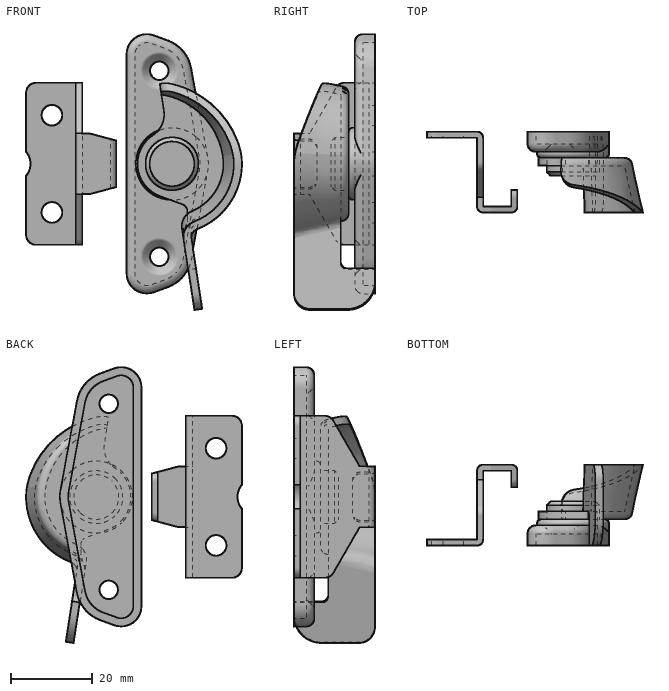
import cadquery as cq
import math


LATCH_HEIGHT = 68.1
LATCH_DEPTH = 20.0
OVERSIZE = 136.15

BASE_LEFT = -11.2
BASE_HALF_LENGTH = 32.0
BASE_DEPTH = 5.05
BASE_WALL = 2.05
BASE_END_RADIUS = 5.05
BASE_SHOULDER_RADIUS = 9.05
BASE_END_SLOPE = math.radians(20)
BASE_SIDE_SLOPE = math.radians(10.4)
BASE_EDGE_ROUNDING = 2.05
BOSS_RADIUS = 8.9
BOSS_HEIGHT = 1.4
BOSS_EDGE_ROUNDING = 1.0
SCREW_X = -3.1
SCREW_Z = 22.95
SCREW_HOLE_RADIUS = 2.25
SCREW_SINK_RADIUS = 4.3
SCREW_SINK_ROUNDING = 0.95

LEVER_THICKNESS = 2.0
LEAN = 8.7
HUB_RADIUS = 8.5
HUB_BLEND_RADIUS = 6.0
PLATE_LOWER_SLOPE = math.radians(20)
PLATE_RELIEF_X = 3.8
PLATE_CORNER_RADIUS = 2.0
RIM_RADIUS = 17.3
WALL_DRAFT = math.radians(12.6)
CAM_OFFSET = 5.45
RIM_SLOPE = math.radians(19.5)
RIM_BLEND_RADIUS = 19.05
WALL_CORNER_RADIUS = 3.0
HANDLE_BOTTOM_Z = BASE_HALF_LENGTH - LATCH_HEIGHT
HANDLE_SHELF = 26.35
HANDLE_SHELF_RADIUS = 1.5
HANDLE_FRONT_RADIUS = 4.0
HANDLE_BACK_RADIUS = 6.8
HANDLE_BEND_RADIUS = 3.95

PIN_RADIUS = 6.55
PIN_HEAD_HEIGHT = 2.5
PIN_CHAMFER = 1.0

KEEPER_LEFT = -36.0
SHEET = 1.55
FLANGE_WIDTH = 13.9
KEEPER_HALF_LENGTH = 20.0
KEEPER_CORNER_RADIUS = 2.5
KEEPER_HOLE_INSET = 6.4
KEEPER_HOLE_Z = 12.0
KEEPER_HOLE_RADIUS = 2.5
NOTCH_HALF_LENGTH = 3.0
NOTCH_DEPTH = 1.1
WEB_SHOULDER_DEPTH = 9.0
WEB_SLOPE = math.radians(30)
TONGUE_LENGTH = 10.0
TONGUE_HALF_WIDTH = 7.5
TONGUE_STRAIGHT = 1.9
TONGUE_TAPER = math.radians(15)
LIP_HEIGHT = 5.65
LIP_CORNER_RADIUS = 2.0

BOSS_DEPTH = BASE_DEPTH + BOSS_HEIGHT
PLATE_DEPTH = BOSS_DEPTH + LEVER_THICKNESS


def facing(depth):
    """Workplane parallel to the mounting surface; extruding leads further out, toward -Y."""
    return cq.Workplane("XZ", origin=(0, -depth, 0))


def fillet_nearest(body, radius, direction, points):
    """Round the edges along the given direction that lie nearest to the points."""
    for point in points:
        nearest = cq.selectors.NearestToPointSelector(point)
        body = body.newObject([body.edges(direction).edges(nearest).val()]).fillet(radius)
    return body


def rounded_plate():
    """Plate symmetrical about Z = 0, with sides tangent to the boss and rounded corners."""
    end_rise = (1 + math.sin(BASE_END_SLOPE)) / math.cos(BASE_END_SLOPE)
    left_z = BASE_HALF_LENGTH + BASE_END_RADIUS * (end_rise - 1)
    middle_x = BOSS_RADIUS / math.cos(BASE_SIDE_SLOPE)
    end_fall = math.tan(BASE_END_SLOPE)
    side_fall = math.tan(BASE_SIDE_SLOPE)
    shoulder_z = (left_z - end_fall * (middle_x - BASE_LEFT)) / (1 - end_fall * side_fall)
    shoulder_x = middle_x - shoulder_z * side_fall
    corners = [
        (BASE_LEFT, -left_z),
        (shoulder_x, -shoulder_z),
        (middle_x, 0),
        (shoulder_x, shoulder_z),
        (BASE_LEFT, left_z),
    ]
    plate = facing(0).polyline(corners).close().extrude(BASE_DEPTH)
    mid_y = -BASE_DEPTH / 2
    for side in (-1, 1):
        plate = fillet_nearest(plate, BASE_END_RADIUS, "|Y", [(BASE_LEFT, mid_y, side * left_z)])
        plate = fillet_nearest(
            plate, BASE_SHOULDER_RADIUS, "|Y", [(shoulder_x, mid_y, side * shoulder_z)]
        )
    plate = fillet_nearest(plate, BOSS_RADIUS, "|Y", [(middle_x, mid_y, 0)])
    return plate.faces("<Y").edges().fillet(BASE_EDGE_ROUNDING)


def make_base():
    """Base plate hollowed from behind, with a boss and two countersunk screw holes."""
    boss = facing(0).circle(BOSS_RADIUS).extrude(BOSS_DEPTH)
    boss = boss.faces("<Y").edges().fillet(BOSS_EDGE_ROUNDING)
    sink_depth = SCREW_SINK_RADIUS - SCREW_HOLE_RADIUS
    pocket_depth = BASE_DEPTH - BASE_WALL
    base = rounded_plate()
    back_outline = base.faces(">Y").wires().toPending().workplane()
    base = back_outline.offset2D(-BASE_WALL).cutBlind(-pocket_depth)
    in_front_of_pocket = facing(pocket_depth).rect(OVERSIZE, OVERSIZE).extrude(OVERSIZE)
    base = base.union(boss.intersect(in_front_of_pocket))
    for z in (-SCREW_Z, SCREW_Z):
        sink = cq.Solid.makeCone(
            SCREW_HOLE_RADIUS,
            SCREW_SINK_RADIUS,
            sink_depth,
            cq.Vector(SCREW_X, sink_depth - BASE_DEPTH, z),
            cq.Vector(0, -1, 0),
        )
        base = base.cut(cq.Workplane(sink))
        base = fillet_nearest(base, SCREW_SINK_ROUNDING, "%CIRCLE", [(SCREW_X, -BASE_DEPTH, z)])
    return base


def half_space(side):
    """Everything above the pivot (side 1) or below it (side -1)."""
    return facing(0).center(0, side * OVERSIZE / 2).rect(OVERSIZE, OVERSIZE).extrude(OVERSIZE)


def lean(body):
    """Turn a body about the pivot so that its Z direction leans left going up."""
    return body.rotate((0, 0, 0), (0, 1, 0), -LEAN)


def wall_inset():
    """Horizontal thickness of the flared wall."""
    return LEVER_THICKNESS / math.cos(WALL_DRAFT)


def cam_cone(start_depth, inset):
    """Flared cam body out to the rim, with its surface inset from the outside of the wall."""
    rim_radius = RIM_RADIUS - inset
    height = LATCH_DEPTH - start_depth
    start_radius = rim_radius - height * math.tan(WALL_DRAFT)
    outward = cq.Vector(0, -1, 0)

    def half(offset, side):
        center = cq.Vector(-offset, -start_depth, 0)
        cone = cq.Solid.makeCone(start_radius + offset, rim_radius + offset, height, center, outward)
        return cq.Workplane(cone).intersect(half_space(side))

    cam = half(CAM_OFFSET, 1).union(half(0, -1))
    return lean(cam)


def make_plate():
    """Plate with a rolled outer edge toward the wall and a round hub around the pivot."""
    blank = cam_cone(BOSS_DEPTH, 0).faces(">Y").edges("%CIRCLE").fillet(LEVER_THICKNESS)
    low_angle = -math.pi / 2 - PLATE_LOWER_SLOPE
    low_x = HUB_RADIUS * math.cos(low_angle)
    low_z = HUB_RADIUS * math.sin(low_angle)
    corner_z = low_z - (PLATE_RELIEF_X - low_x) * math.tan(PLATE_LOWER_SLOPE)
    edge_top_x = -OVERSIZE * math.tan(math.radians(LEAN))
    corners = [
        (edge_top_x, OVERSIZE),
        (0, 0),
        (low_x, low_z),
        (PLATE_RELIEF_X, corner_z),
        (PLATE_RELIEF_X, -OVERSIZE),
        (OVERSIZE, -OVERSIZE),
        (OVERSIZE, OVERSIZE),
    ]
    limit = facing(BOSS_DEPTH).polyline(corners).close().extrude(LEVER_THICKNESS)
    hub = facing(BOSS_DEPTH).circle(HUB_RADIUS).extrude(LEVER_THICKNESS)
    limit = limit.union(hub)
    mid_y = -BOSS_DEPTH - LEVER_THICKNESS / 2
    limit = fillet_nearest(limit, PLATE_CORNER_RADIUS, "|Y", [(PLATE_RELIEF_X, mid_y, corner_z)])
    blend_x = -HUB_RADIUS * math.tan(math.radians(LEAN))
    limit = fillet_nearest(limit, HUB_BLEND_RADIUS, "|Y", [(blend_x, mid_y, HUB_RADIUS)])
    return blank.intersect(limit)


def rim_cut():
    """What lies in front of the rim, which slopes back along the upper wall; before leaning."""
    slope_end_y = OVERSIZE * math.tan(RIM_SLOPE) - LATCH_DEPTH
    outline = [
        (-LATCH_DEPTH, -OVERSIZE),
        (-LATCH_DEPTH, 0),
        (slope_end_y, OVERSIZE),
        (-OVERSIZE, OVERSIZE),
        (-OVERSIZE, -OVERSIZE),
    ]
    return cq.Workplane("YZ", origin=(-OVERSIZE / 2, 0, 0)).polyline(outline).close().extrude(OVERSIZE)


def wall_limit():
    """Everything right of the leaning line through the pivot, rounded where it meets the sloping rim."""
    right_side = facing(0).center(OVERSIZE / 2, 0).rect(OVERSIZE, 2 * OVERSIZE).extrude(OVERSIZE)
    limit = right_side.cut(rim_cut())
    slope_middle = (0, -LATCH_DEPTH / 2, LATCH_DEPTH / 2 / math.tan(RIM_SLOPE))
    return lean(fillet_nearest(limit, WALL_CORNER_RADIUS, "not(|X)", [slope_middle]))


def make_wall():
    """Flared crescent wall standing on the plate."""
    shell = cam_cone(BOSS_DEPTH, 0).cut(cam_cone(BOSS_DEPTH, wall_inset()))
    in_front_of_plate = facing(PLATE_DEPTH).rect(OVERSIZE, OVERSIZE).extrude(OVERSIZE)
    wall = shell.intersect(in_front_of_plate).intersect(wall_limit())
    rim_start = (0, -LATCH_DEPTH, 0)
    return wall.cut(lean(fillet_nearest(rim_cut(), RIM_BLEND_RADIUS, "|X", [rim_start])))


def make_handle():
    """Flat handle below the wall, with a shelf reaching back to the mounting surface."""
    length = -HANDLE_BOTTOM_Z / math.cos(math.radians(LEAN))
    corners = [
        (-LATCH_DEPTH, -RIM_RADIUS / 2),
        (-LATCH_DEPTH, -length),
        (0, -length),
        (0, -HANDLE_SHELF),
        (-PLATE_DEPTH, -HANDLE_SHELF),
        (-PLATE_DEPTH, -RIM_RADIUS / 2),
    ]
    handle = cq.Workplane("YZ").polyline(corners).close().extrude(LEVER_THICKNESS)
    mid_x = LEVER_THICKNESS / 2
    handle = fillet_nearest(handle, HANDLE_FRONT_RADIUS, "|X", [(mid_x, -LATCH_DEPTH, -length)])
    handle = fillet_nearest(handle, HANDLE_BACK_RADIUS, "|X", [(mid_x, 0, -length)])
    handle = fillet_nearest(handle, HANDLE_SHELF_RADIUS, "|X", [(mid_x, -PLATE_DEPTH, -HANDLE_SHELF)])
    return lean(handle).cut(cam_cone(BOSS_DEPTH, wall_inset()))


def make_lever():
    """Wall and handle joined by a rounded bend, on the plate."""
    body = make_wall().union(make_handle())
    half_height = (LATCH_DEPTH - PLATE_DEPTH) / 2
    bend_y = half_height - LATCH_DEPTH
    outer_radius = RIM_RADIUS - half_height * math.tan(WALL_DRAFT)
    inner_radius = outer_radius - wall_inset()
    angle = math.radians(LEAN)
    inner_edge = (inner_radius * math.sin(angle), bend_y, -inner_radius * math.cos(angle))
    outer_edge = (
        outer_radius * math.sin(angle) + LEVER_THICKNESS,
        bend_y,
        -outer_radius * math.cos(angle),
    )
    body = fillet_nearest(body, HANDLE_BEND_RADIUS, "not(#Y)", [inner_edge])
    body = fillet_nearest(body, HANDLE_BEND_RADIUS - LEVER_THICKNESS, "not(#Y)", [outer_edge])
    return body.union(make_plate())


def make_pin():
    """Pivot pin with a chamfered front."""
    pin = facing(BOSS_DEPTH).circle(PIN_RADIUS).extrude(LEVER_THICKNESS + PIN_HEAD_HEIGHT)
    return pin.faces("<Y").edges().chamfer(PIN_CHAMFER)


def bent_sheet():
    """Constant profile of flange, web, tongue and lip, rounded outside the bends."""
    web_right = KEEPER_LEFT + FLANGE_WIDTH
    web_left = web_right - SHEET
    tongue_right = web_left + TONGUE_LENGTH
    lip_back = LIP_HEIGHT - LATCH_DEPTH
    corners = [
        (KEEPER_LEFT, 0),
        (web_right, 0),
        (web_right, SHEET - LATCH_DEPTH),
        (tongue_right - SHEET, SHEET - LATCH_DEPTH),
        (tongue_right - SHEET, lip_back),
        (tongue_right, lip_back),
        (tongue_right, -LATCH_DEPTH),
        (web_left, -LATCH_DEPTH),
        (web_left, -SHEET),
        (KEEPER_LEFT, -SHEET),
    ]
    sheet = cq.Workplane("XY").polyline(corners).close().extrude(KEEPER_HALF_LENGTH, both=True)
    bends = [(web_right, 0, 0), (web_left, -LATCH_DEPTH, 0), (tongue_right, -LATCH_DEPTH, 0)]
    return fillet_nearest(sheet, SHEET, "|Z", bends)


def web_corner(side):
    """What is cut from the web above or below its shoulder, slope and tongue."""
    slope_run = (KEEPER_HALF_LENGTH - TONGUE_HALF_WIDTH) * math.tan(WEB_SLOPE)
    outline = [
        (-LATCH_DEPTH, side * KEEPER_HALF_LENGTH),
        (-WEB_SHOULDER_DEPTH, side * KEEPER_HALF_LENGTH),
        (-WEB_SHOULDER_DEPTH - slope_run, side * TONGUE_HALF_WIDTH),
        (-LATCH_DEPTH, side * TONGUE_HALF_WIDTH),
    ]
    return cq.Workplane("YZ", origin=(KEEPER_LEFT, 0, 0)).polyline(outline).close().extrude(FLANGE_WIDTH)


def make_keeper():
    """Keeper cut from the bent sheet."""
    web_right = KEEPER_LEFT + FLANGE_WIDTH
    tongue_right = web_right - SHEET + TONGUE_LENGTH
    keeper = bent_sheet().cut(web_corner(1)).cut(web_corner(-1))
    taper_x = web_right + TONGUE_STRAIGHT
    taper_fall = (tongue_right - taper_x) * math.tan(TONGUE_TAPER)
    tip_z = TONGUE_HALF_WIDTH - taper_fall
    for side in (-1, 1):
        taper = [
            (web_right, side * TONGUE_HALF_WIDTH),
            (taper_x, side * TONGUE_HALF_WIDTH),
            (tongue_right, side * tip_z),
            (tongue_right, side * KEEPER_HALF_LENGTH),
            (web_right, side * KEEPER_HALF_LENGTH),
        ]
        keeper = keeper.cut(facing(0).polyline(taper).close().extrude(LATCH_DEPTH))
    flange_corners = [(KEEPER_LEFT, -SHEET / 2, side * KEEPER_HALF_LENGTH) for side in (-1, 1)]
    keeper = fillet_nearest(keeper, KEEPER_CORNER_RADIUS, "|Y", flange_corners)
    holes = (
        facing(0)
        .pushPoints([(KEEPER_LEFT + KEEPER_HOLE_INSET, side * KEEPER_HOLE_Z) for side in (-1, 1)])
        .circle(KEEPER_HOLE_RADIUS)
        .extrude(SHEET)
    )
    notch = (
        facing(0)
        .moveTo(KEEPER_LEFT, -NOTCH_HALF_LENGTH)
        .threePointArc((KEEPER_LEFT + NOTCH_DEPTH, 0), (KEEPER_LEFT, NOTCH_HALF_LENGTH))
        .close()
        .extrude(SHEET)
    )
    keeper = keeper.cut(holes).cut(notch)
    web_x = web_right - SHEET / 2
    lip_x = tongue_right - SHEET / 2
    lip_y = LIP_HEIGHT - LATCH_DEPTH
    for side in (-1, 1):
        shoulder = (web_x, -WEB_SHOULDER_DEPTH, side * KEEPER_HALF_LENGTH)
        keeper = fillet_nearest(keeper, KEEPER_CORNER_RADIUS, "|X", [shoulder])
        keeper = fillet_nearest(keeper, LIP_CORNER_RADIUS, "#Y", [(lip_x, lip_y, side * tip_z)])
    return keeper


base = make_base()
pin = make_pin()
lever = make_lever().cut(pin)
keeper = make_keeper()
bodies = [base, lever, pin, keeper]
result = cq.Compound.makeCompound([solid for body in bodies for solid in body.solids().vals()])